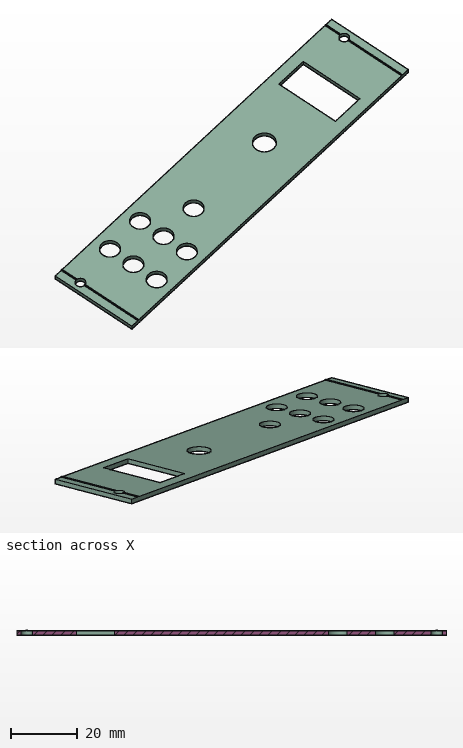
import cadquery as cq

panel_width = 30.0
panel_length = 128.5
total_height = 1.7
ridge_height = 0.19
plate_thickness = total_height - ridge_height

ridge_width = 0.4
ridge_y = 61.3

mount_diameter = 3.2
mount_x = -7.6

window_width = 22.1
window_length = 11.3
window_y = 40.7

control_diameter = 7.2
control_y = 15.2

jack_diameter = 6.3
clock_y = -17.7
jack_pitch_x = 9.1
jack_pitch_y = 14.0
jack_columns = 3
jack_rows = 2


def make_plate():
    return cq.Workplane("XY").box(
        panel_width, panel_length, plate_thickness, centered=(True, True, False)
    )


def add_ridges(body):
    ridges = (
        cq.Workplane("XY", origin=(0, 0, plate_thickness))
        .pushPoints([(0, ridge_y), (0, -ridge_y)])
        .rect(panel_width, ridge_width)
        .extrude(ridge_height)
    )
    return body.union(ridges)


def cut_window(body):
    window = (
        cq.Workplane("XY")
        .center(0, window_y)
        .rect(window_width, window_length)
        .extrude(total_height)
    )
    return body.cut(window)


def cut_round_holes(body, centers, diameter):
    holes = cq.Workplane("XY").pushPoints(centers).circle(diameter / 2).extrude(total_height)
    return body.cut(holes)


def jack_centers():
    centers = [(0, clock_y)]
    for row in range(jack_rows):
        for column in range(jack_columns):
            x = (column - (jack_columns - 1) / 2) * jack_pitch_x
            y = clock_y - (row + 1) * jack_pitch_y
            centers.append((x, y))
    return centers


result = make_plate()
result = add_ridges(result)
result = cut_window(result)
result = cut_round_holes(result, [(mount_x, ridge_y), (mount_x, -ridge_y)], mount_diameter)
result = cut_round_holes(result, [(0, control_y)], control_diameter)
result = cut_round_holes(result, jack_centers(), jack_diameter)